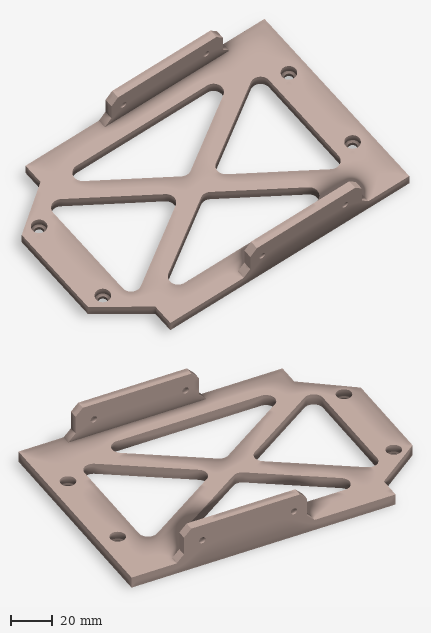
import cadquery as cq
import math

plate_width = 116.0
plate_length = 170.0
plate_thickness = 6.0
nose_length = 26.0
nose_tip_width = 53.0
shoulder_width = 12.0

flange_thickness = 4.8
flange_height = 24.0
flange_length = 67.2
flange_back_distance = 28.6
flange_chamfer = 4.0
flange_hole_diameter = 3.5
flange_hole_height = 15.0
flange_hole_spacing = 50.0
flange_hole_back_offset = 10.0

side_rail_width = 10.0
end_rail_width = 20.0
frame_half_width = plate_width / 2 - flange_thickness - side_rail_width
frame_half_length = plate_length / 2 - end_rail_width
bar_width = 10.0
window_corner_radius = 5.0

mount_spacing = 51.0
mount_edge_distance = 9.75
mount_hole_diameter = 4.8
counterbore_diameter = 8.0
counterbore_depth = 4.0

half_width = plate_width / 2
half_length = plate_length / 2
flange_back = half_length - flange_back_distance
flange_front = flange_back - flange_length


def make_plate():
    """Rectangular plate whose front end (-Y) steps in and tapers to a nose."""
    shoulder_y = -half_length + nose_length
    nose_root = half_width - shoulder_width
    nose_tip = nose_tip_width / 2
    outline = [
        (-half_width, half_length),
        (half_width, half_length),
        (half_width, shoulder_y),
        (nose_root, shoulder_y),
        (nose_tip, -half_length),
        (-nose_tip, -half_length),
        (-nose_root, shoulder_y),
        (-half_width, shoulder_y),
    ]
    return cq.Workplane("XY").polyline(outline).close().extrude(plate_thickness)


def make_window(points):
    """Triangular cutter with rounded corners, as deep as the plate."""
    triangle = cq.Workplane("XY").polyline(points).close().extrude(plate_thickness)
    return triangle.edges("|Z").fillet(window_corner_radius)


def cut_windows(body):
    """Cut the four triangles left between the frame and the diagonal bars."""
    diagonal_angle = math.atan2(frame_half_length, frame_half_width)
    slope = math.tan(diagonal_angle)
    apex_y = bar_width / 2 / math.cos(diagonal_angle)
    apex_x = bar_width / 2 / math.sin(diagonal_angle)
    end_half_width = (frame_half_length - apex_y) / slope
    side_half_length = (frame_half_width - apex_x) * slope
    for side in (-1, 1):
        end_y = side * frame_half_length
        side_x = side * frame_half_width
        end_window = [(0, side * apex_y), (end_half_width, end_y), (-end_half_width, end_y)]
        side_window = [(side * apex_x, 0), (side_x, side_half_length), (side_x, -side_half_length)]
        body = body.cut(make_window(end_window))
        body = body.cut(make_window(side_window))
    return body


def cut_mount_holes(body):
    """Cut the four mounting holes, counterbored from the top of the plate."""
    mount_y = half_length - mount_edge_distance
    centres = [(x, y) for x in (-mount_spacing / 2, mount_spacing / 2) for y in (-mount_y, mount_y)]
    holes = cq.Workplane("XY").pushPoints(centres).circle(mount_hole_diameter / 2).extrude(plate_thickness)
    counterbores = (
        cq.Workplane("XY")
        .workplane(offset=plate_thickness - counterbore_depth)
        .pushPoints(centres)
        .circle(counterbore_diameter / 2)
        .extrude(counterbore_depth)
    )
    return body.cut(holes).cut(counterbores)


def make_flange(min_x):
    """Upright flange with chamfered top corners, flared feet and two cross holes."""
    foot_top = plate_thickness + flange_chamfer
    shoulder = flange_height - flange_chamfer
    profile = [
        (flange_front - flange_chamfer, 0),
        (flange_front - flange_chamfer, plate_thickness),
        (flange_front, foot_top),
        (flange_front, shoulder),
        (flange_front + flange_chamfer, flange_height),
        (flange_back - flange_chamfer, flange_height),
        (flange_back, shoulder),
        (flange_back, foot_top),
        (flange_back + flange_chamfer, plate_thickness),
        (flange_back + flange_chamfer, 0),
    ]
    back_hole_y = flange_back - flange_hole_back_offset
    hole_centres = [(y, flange_hole_height) for y in (back_hole_y, back_hole_y - flange_hole_spacing)]
    plane = cq.Workplane("YZ").workplane(offset=min_x)
    flange = plane.polyline(profile).close().extrude(flange_thickness)
    holes = plane.pushPoints(hole_centres).circle(flange_hole_diameter / 2).extrude(flange_thickness)
    return flange.cut(holes)


result = cut_mount_holes(cut_windows(make_plate()))
for side_x in (-half_width, half_width - flange_thickness):
    result = result.union(make_flange(side_x))